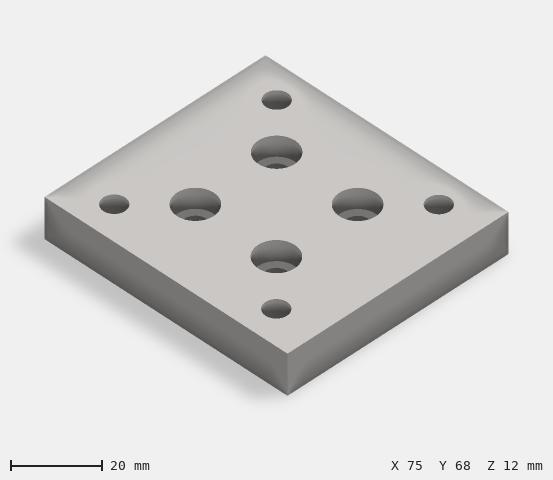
import cadquery as cq

length = 75
width = 68.0
thickness = 12

hole_diameter = 6.6
counterbore_diameter = 11.25
counterbore_depth = thickness / 2
outer_spacing = 50.0
inner_spacing = outer_spacing / 2


def on_square(plane, spacing):
    """Place points at the corners of a square with the given side."""
    return plane.rarray(spacing, spacing, 2, 2)


plate = cq.Workplane("XY").box(length, width, thickness, centered=(True, True, False))

drilled = on_square(plate.faces(">Z").workplane(), outer_spacing).hole(hole_diameter)

result = on_square(drilled.faces(">Z").workplane(), inner_spacing).cboreHole(
    hole_diameter, counterbore_diameter, counterbore_depth
)